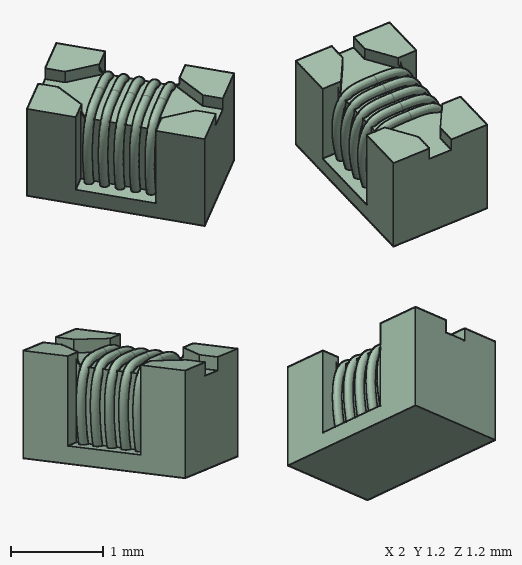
import cadquery as cq

LENGTH = 2.0
WIDTH = 1.2
HEIGHT = 1.2

WINDOW_LENGTH = 0.9
WINDOW_FLOOR = 0.2
CORE_WIDTH = 0.8

CHANNEL_WIDTH = 0.28
CHANNEL_DEPTH = 0.15
CHANNEL_STRAIGHT = 0.225
FLARE_LENGTH = 0.373

SCOOP_RADIUS = 0.055
SCOOP_DEPTH = 0.13

TURN_COUNT = 5
TURN_PITCH = 0.175
WIRE_RADIUS = 0.052
WIRE_TOP = 1.18
WIDEST_Z = 0.6
TURN_HALF_WIDTH = 0.48
UPPER_BEND_Y = 0.37
UPPER_BEND_Z = 1.052
FOOT_Y = 0.4
FOOT_Z = 0.12


def make_body():
    """Block with a winding window notched into both long sides."""
    body = cq.Workplane("XY").box(LENGTH, WIDTH, HEIGHT, centered=(True, True, False))
    window_depth = (WIDTH - CORE_WIDTH) / 2
    window_height = HEIGHT - WINDOW_FLOOR
    for side in (-1, 1):
        window = (
            cq.Workplane("XY")
            .box(WINDOW_LENGTH, window_depth, window_height, centered=(True, True, False))
            .translate((0, side * (CORE_WIDTH + window_depth) / 2, WINDOW_FLOOR))
        )
        body = body.cut(window)
    return body


def make_channel():
    """Lead channel: narrow at both ends, as wide as the core in the middle."""
    half_length = LENGTH / 2
    flare_start = half_length - CHANNEL_STRAIGHT
    flare_end = flare_start - FLARE_LENGTH
    narrow = CHANNEL_WIDTH / 2
    wide = CORE_WIDTH / 2
    return (
        cq.Workplane("XY", origin=(0, 0, HEIGHT - CHANNEL_DEPTH))
        .moveTo(-half_length, narrow)
        .lineTo(-flare_start, narrow)
        .lineTo(-flare_end, wide)
        .lineTo(0, wide)
        .lineTo(0, 0)
        .lineTo(-half_length, 0)
        .close()
        .extrude(CHANNEL_DEPTH)
        .mirror("XZ", union=True)
        .mirror("YZ", union=True)
    )


def make_scoop():
    """Cutter that lowers the slivers, with a concave round at each window end."""
    bottom = HEIGHT - SCOOP_DEPTH
    return (
        cq.Workplane("XY", origin=(0, 0, bottom))
        .box(WINDOW_LENGTH, CORE_WIDTH, SCOOP_DEPTH, centered=(True, True, False))
        .edges("|Y and <Z")
        .fillet(SCOOP_RADIUS)
    )


def make_turn(x):
    """One turn of round wire in the plane X = x, both feet embedded in the body."""
    top = WIRE_TOP - WIRE_RADIUS
    half_path = cq.Workplane("YZ", origin=(x, 0, 0)).spline(
        [
            (0, top),
            (UPPER_BEND_Y, UPPER_BEND_Z),
            (TURN_HALF_WIDTH, WIDEST_Z),
            (FOOT_Y, FOOT_Z),
        ],
        tangents=[(1, 0), None, None, None],
    )
    section = cq.Workplane("XZ", origin=(x, 0, top)).circle(WIRE_RADIUS)
    return section.sweep(half_path).mirror("XZ", union=True)


result = make_body().cut(make_channel()).cut(make_scoop())
for index in range(TURN_COUNT):
    turn_x = (index - (TURN_COUNT - 1) / 2) * TURN_PITCH
    result = result.union(make_turn(turn_x))